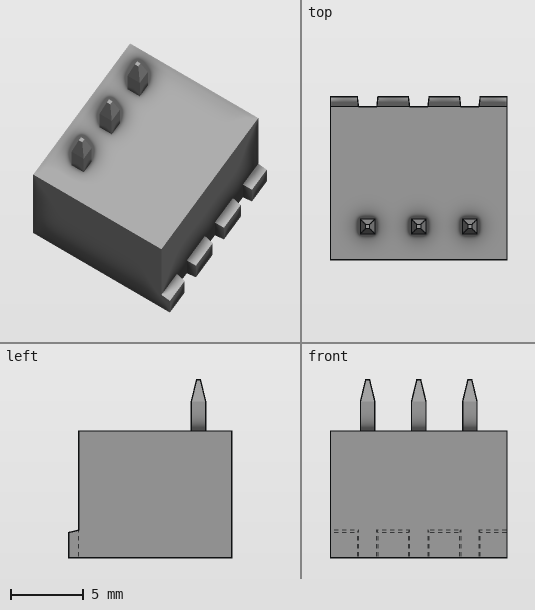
import cadquery as cq

HOUSING_WIDTH = 12.1
HOUSING_DEPTH = 10.5
HOUSING_HEIGHT = 8.7

OVERALL_DEPTH = 11.2
RAIL_DEPTH = OVERALL_DEPTH - HOUSING_DEPTH
RAIL_ROOT_HEIGHT = 1.9
RAIL_OUTER_HEIGHT = 1.73

SLOT_ROOT_WIDTH = 1.25
SLOT_OUTER_WIDTH = 1.4

OVERALL_HEIGHT = 12.2
PIN_PITCH = 3.5
PIN_Y = 2.29
PIN_SIDE = 1.0
PIN_TIP_SIDE = 0.28
PIN_TAPER_HEIGHT = 1.5
PIN_SHAFT_HEIGHT = OVERALL_HEIGHT - HOUSING_HEIGHT - PIN_TAPER_HEIGHT

CENTRE_PIN_X = 0.0
OUTER_PIN_XS = [-PIN_PITCH, PIN_PITCH]
SLOT_XS = [CENTRE_PIN_X, *OUTER_PIN_XS]


def make_pin_shape(x):
    """Square shaft with a pyramid-like tip, resting on the housing top at the given X."""
    shaft = (
        cq.Workplane("XY", origin=(x, PIN_Y, HOUSING_HEIGHT))
        .rect(PIN_SIDE, PIN_SIDE)
        .extrude(PIN_SHAFT_HEIGHT)
    )
    tip = (
        shaft.faces(">Z").workplane(origin=(x, PIN_Y, 0))
        .rect(PIN_SIDE, PIN_SIDE)
        .workplane(offset=PIN_TAPER_HEIGHT)
        .rect(PIN_TIP_SIDE, PIN_TIP_SIDE)
        .loft(ruled=True, combine=False)
    )
    return shaft.union(tip)


def make_block_with_rail():
    """Side profile of block and rail, extruded over the full width."""
    return (
        cq.Workplane("YZ")
        .polyline([
            (0, 0),
            (OVERALL_DEPTH, 0),
            (OVERALL_DEPTH, RAIL_OUTER_HEIGHT),
            (HOUSING_DEPTH, RAIL_ROOT_HEIGHT),
            (HOUSING_DEPTH, HOUSING_HEIGHT),
            (0, HOUSING_HEIGHT),
        ])
        .close()
        .extrude(HOUSING_WIDTH / 2, both=True)
    )


def make_rail_slot(x):
    """Cutter for one rail slot, wider at the outer face than at the root."""
    return (
        cq.Workplane("XY", origin=(x, HOUSING_DEPTH, 0))
        .polyline([
            (-SLOT_ROOT_WIDTH / 2, 0),
            (SLOT_ROOT_WIDTH / 2, 0),
            (SLOT_OUTER_WIDTH / 2, RAIL_DEPTH),
            (-SLOT_OUTER_WIDTH / 2, RAIL_DEPTH),
        ])
        .close()
        .extrude(RAIL_ROOT_HEIGHT)
    )


def make_housing():
    """Block with its slotted rail; the centre pin is in one piece with it."""
    body = make_block_with_rail()
    for x in SLOT_XS:
        body = body.cut(make_rail_slot(x))
    return body.union(make_pin_shape(CENTRE_PIN_X))


housing = make_housing()
outer_pins = [make_pin_shape(x).val() for x in OUTER_PIN_XS]

result = cq.Compound.makeCompound([housing.val(), *outer_pins])